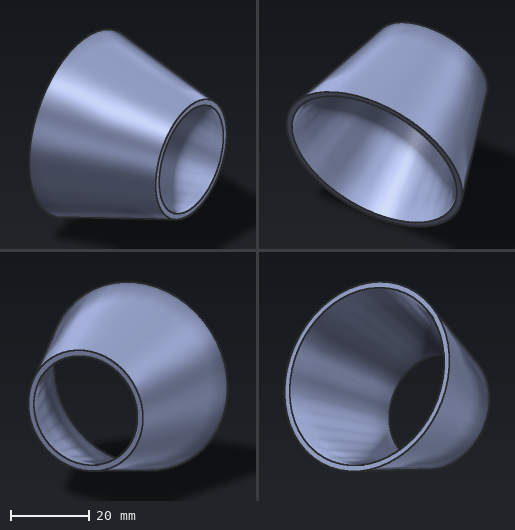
import cadquery as cq

length = 33.0
large_outer_diameter = 50.0
small_outer_diameter = 32.0
wall = 1.6

large_outer_radius = large_outer_diameter / 2
small_outer_radius = small_outer_diameter / 2
large_inner_radius = large_outer_radius - wall
small_inner_radius = small_outer_radius - wall

wall_section = (
    cq.Workplane("XY")
    .moveTo(0, large_inner_radius)
    .lineTo(0, large_outer_radius)
    .lineTo(length, small_outer_radius)
    .lineTo(length, small_inner_radius)
    .close()
)

result = wall_section.revolve(360, (0, 0, 0), (1, 0, 0))